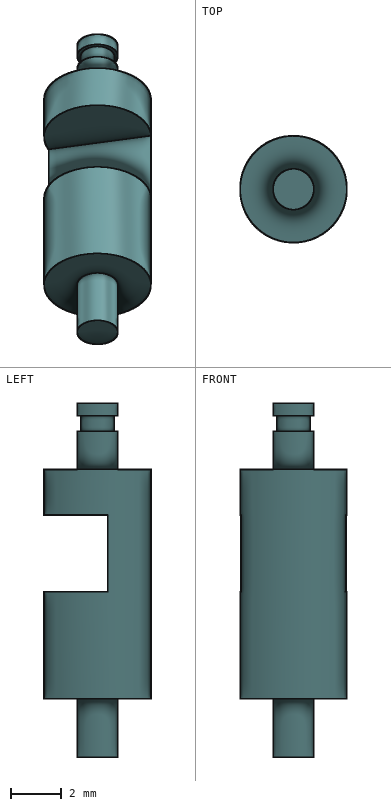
import cadquery as cq

body_diameter = 4.2
pin_diameter = 1.6
groove_diameter = 1.32

lower_pin_length = 2.3
body_length = 9.0
upper_pin_length = 1.5
groove_width = 0.6
head_thickness = 0.5

notch_height = 3.0
notch_above_body_bottom = 4.2
notch_floor_y = -0.4


def stack_cylinders(sections):
    """Stack coaxial cylinders upwards from Z = 0, given (diameter, length) pairs."""
    stack = cq.Workplane("XY")
    base_z = 0.0
    for diameter, length in sections:
        cylinder = cq.Workplane("XY").workplane(offset=base_z).circle(diameter / 2).extrude(length)
        stack = stack.union(cylinder)
        base_z += length
    return stack


def make_notch():
    """Block that removes everything beyond the flat notch floor, through the full body width."""
    notch_depth = body_diameter / 2 - notch_floor_y
    notch_bottom_z = lower_pin_length + notch_above_body_bottom
    return (
        cq.Workplane("XY")
        .box(body_diameter, notch_depth, notch_height, centered=(True, False, False))
        .translate((0, notch_floor_y, notch_bottom_z))
    )


turned_pin = stack_cylinders([
    (pin_diameter, lower_pin_length),
    (body_diameter, body_length),
    (pin_diameter, upper_pin_length),
    (groove_diameter, groove_width),
    (pin_diameter, head_thickness),
])

result = turned_pin.cut(make_notch())